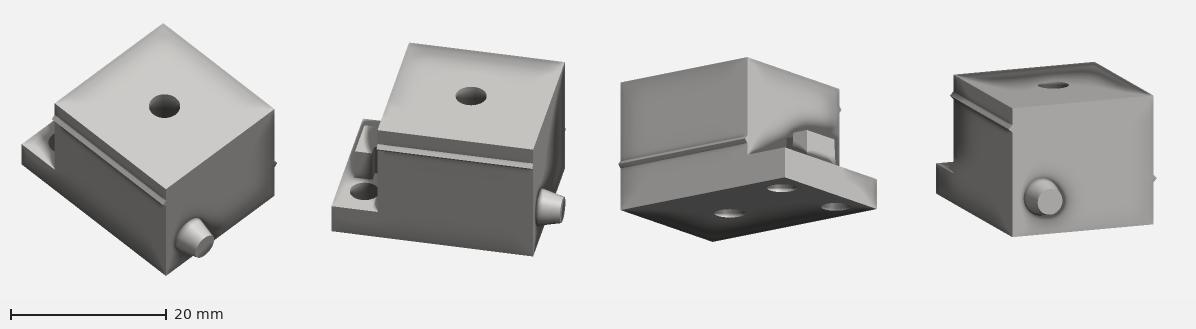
import cadquery as cq

total_length = 29.5
pin_length = 3.0
body_length = total_length - pin_length
body_width = 19.5
body_height = 17.0
flange_length = 6.05
flange_height = 3.98
block_length = body_length - flange_length

side_feature_offset = 5.72
flange_hole_diameter = 3.8
flange_hole_x = 3.5
block_hole_diameter = 4.0
block_hole_x = flange_length + block_length / 2

ridge_depth = 0.5
front_ridge_z = 14.28
back_ridge_z = 6.05

key_front_x = 1.5
key_bar_length = 2.48
key_bar_width = 6.08
key_stem_width = 3.07
key_height = 4.07
key_draft_angle = 2.0
key_embed = 0.88

pin_z = 5.0
pin_root_diameter = 4.9
pin_tip_diameter = 3.42


def make_body():
    profile = [
        (0, 0),
        (body_length, 0),
        (body_length, body_height),
        (flange_length, body_height),
        (flange_length, flange_height),
        (0, flange_height),
    ]
    return cq.Workplane("XZ").polyline(profile).close().extrude(body_width / 2, both=True)


def make_ridge(side, ridge_z):
    """Triangular ridge on the +Y (side = 1) or -Y (side = -1) face of the block."""
    wall_y = side * body_width / 2
    profile = [
        (wall_y, ridge_z - ridge_depth),
        (wall_y + side * ridge_depth, ridge_z),
        (wall_y, ridge_z + ridge_depth),
    ]
    return cq.Workplane("YZ", origin=(flange_length, 0, 0)).polyline(profile).close().extrude(block_length)


def make_key():
    bar_back_x = key_front_x + key_bar_length
    stem_end_x = flange_length + key_embed
    half_bar = key_bar_width / 2
    half_stem = key_stem_width / 2
    outline = [
        (key_front_x, -half_bar),
        (bar_back_x, -half_bar),
        (bar_back_x, -half_stem),
        (stem_end_x, -half_stem),
        (stem_end_x, half_stem),
        (bar_back_x, half_stem),
        (bar_back_x, half_bar),
        (key_front_x, half_bar),
    ]
    base = cq.Workplane("XY", origin=(0, 0, flange_height))
    return base.polyline(outline).close().extrude(key_height, taper=key_draft_angle)


def make_pin():
    root_centre = cq.Vector(body_length, -side_feature_offset, pin_z)
    outward = cq.Vector(1, 0, 0)
    cone = cq.Solid.makeCone(pin_root_diameter / 2, pin_tip_diameter / 2, pin_length, root_centre, outward)
    return cq.Workplane(cone)


def make_hole(diameter, x, y):
    return cq.Workplane("XY").center(x, y).circle(diameter / 2).extrude(body_height)


result = make_body()
result = result.union(make_ridge(-1, front_ridge_z))
result = result.union(make_ridge(1, back_ridge_z))
result = result.union(make_key())
result = result.union(make_pin())
result = result.cut(make_hole(block_hole_diameter, block_hole_x, 0))
for side in (-1, 1):
    result = result.cut(make_hole(flange_hole_diameter, flange_hole_x, side * side_feature_offset))